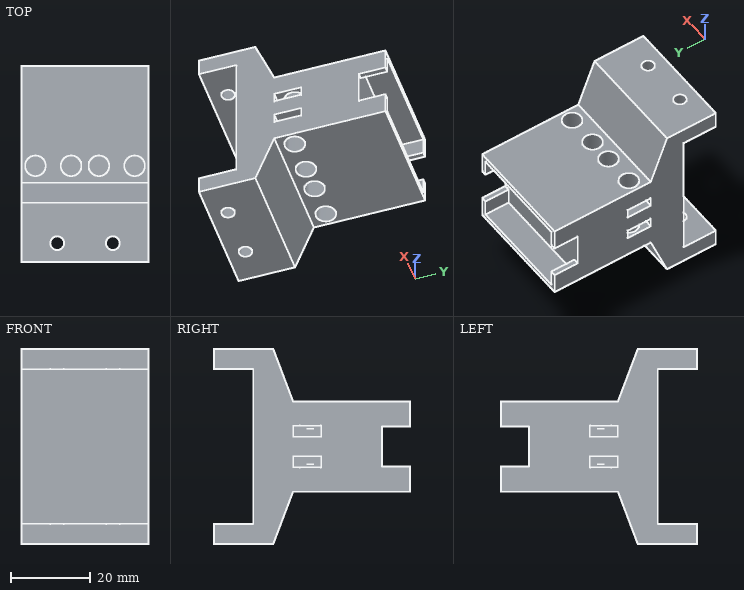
import cadquery as cq

width = 32.0
length = 49.5
height = 49.2

flange_thickness = 5.1
flange_reach = 9.9
shoulder_y = 15.0
neck_y = 20.0
body_height = 22.8
rear_notch_height = 10.0
rear_notch_depth = 7.1

recess_wall = 1.5

screw_diameter = 3.4
screw_spacing = 14.0
screw_y = 4.8

web_thickness = 2.0
pocket_length = 7.1
pocket_inner_z = 2.5
pocket_outer_z = 5.25

bore_diameter = 5.2
bore_x_positions = (-12.5, -3.5, 3.5, 12.5)
bore_y = 24.3
bore_overrun = 0.75


def make_body():
    """Extrude the side profile across the full width."""
    flange_outer_z = height / 2
    flange_inner_z = flange_outer_z - flange_thickness
    upper_half = [
        (flange_reach, flange_inner_z),
        (0, flange_inner_z),
        (0, flange_outer_z),
        (shoulder_y, flange_outer_z),
        (neck_y, body_height / 2),
        (length, body_height / 2),
        (length, rear_notch_height / 2),
        (length - rear_notch_depth, rear_notch_height / 2),
    ]
    lower_half = [(y, -z) for y, z in reversed(upper_half)]
    profile = cq.Workplane("YZ").polyline(upper_half + lower_half).close()
    return profile.extrude(width / 2, both=True)


def make_rear_recess():
    """Rectangular cavity in the rear face, as deep as the notch."""
    recess_width = width - 2 * recess_wall
    recess_height = body_height - 2 * recess_wall
    recess_center_y = length - rear_notch_depth / 2
    recess = cq.Workplane("XY").box(recess_width, rear_notch_depth, recess_height)
    return recess.translate((0, recess_center_y, 0))


def make_screw_holes():
    """Vertical cylinders that pass through both flanges."""
    centers = [(-screw_spacing / 2, screw_y), (screw_spacing / 2, screw_y)]
    return cq.Workplane("XY").pushPoints(centers).circle(screw_diameter / 2).extrude(height / 2, both=True)


def make_upper_cutters():
    """Pockets and blind bores of the upper half of the body."""
    pocket_depth = (width - web_thickness) / 2
    pocket_center_x = (width + web_thickness) / 4
    pocket_centers = [
        (-pocket_center_x, neck_y + pocket_length / 2),
        (pocket_center_x, neck_y + pocket_length / 2),
    ]
    pockets = (
        cq.Workplane("XY", origin=(0, 0, pocket_inner_z))
        .pushPoints(pocket_centers)
        .rect(pocket_depth, pocket_length)
        .extrude(pocket_outer_z - pocket_inner_z)
    )
    bore_floor_z = pocket_outer_z - bore_overrun
    bores = (
        cq.Workplane("XY", origin=(0, 0, bore_floor_z))
        .pushPoints([(x, bore_y) for x in bore_x_positions])
        .circle(bore_diameter / 2)
        .extrude(body_height / 2 - bore_floor_z)
    )
    return pockets.union(bores)


upper_cutters = make_upper_cutters()
lower_cutters = upper_cutters.mirror("XY")
result = (
    make_body()
    .cut(make_rear_recess())
    .cut(make_screw_holes())
    .cut(upper_cutters)
    .cut(lower_cutters)
)